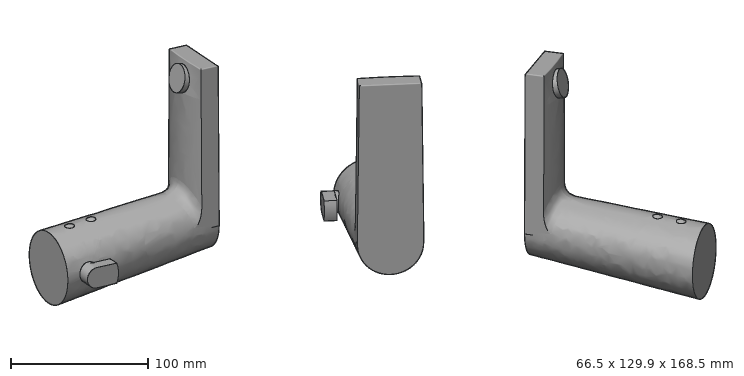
import cadquery as cq
import math

total_depth = 129.9
total_height = 168.5
front_radius = 28.0
rear_radius = 24.3
front_axis_z = front_radius
rear_axis_z = 42.5

arm_top_half_width = 22.9
arm_base_half_width = 24.5
arm_side_depth = 14.7
arm_crown_depth = 20.0
arm_top_crown_depth = 15.3
crown_end_z = 144.7
edge_radius = 0.8
elbow_radius = 10.1

outlet_radius = 10.8
outlet_face_y = total_depth - 21.5
outlet_face_z = 155.0
outlet_tilt = math.radians(14.3)
outlet_length = 6.7

button_positions = (18.0, 36.0)
button_radius = 3.5
button_height = 1.3

lever_radius = 8.0
lever_axis_y = 18.4
lever_axis_z = 30.3
lever_outer_x = 38.5
lever_thickness = 9.5
lever_tip_y = 36.5
lever_tip_bulge = 1.5
shaft_inner_x = 16.8


def body_top(y):
    """Height of the body's top line at a given depth."""
    front_top = front_axis_z + front_radius
    rear_top = rear_axis_z + rear_radius
    return front_top + (rear_top - front_top) * y / total_depth


def make_body():
    front = cq.Wire.makeCircle(front_radius, cq.Vector(0, 0, front_axis_z), cq.Vector(0, 1, 0))
    rear = cq.Wire.makeCircle(rear_radius, cq.Vector(0, total_depth, rear_axis_z), cq.Vector(0, 1, 0))
    return cq.Workplane(cq.Solid.makeLoft([front, rear], True))


def arm_half_width(z):
    """Half width of the arm, tapering evenly from the body axis to the top."""
    rise = (z - rear_axis_z) / (total_height - rear_axis_z)
    return arm_base_half_width + (arm_top_half_width - arm_base_half_width) * rise


def arm_section(z, crown_depth):
    half_width = arm_half_width(z)
    side_y = total_depth - arm_side_depth
    section = (
        cq.Workplane("XY", origin=(0, 0, z))
        .moveTo(-half_width, total_depth)
        .lineTo(-half_width, side_y)
        .threePointArc((0, total_depth - crown_depth), (half_width, side_y))
        .lineTo(half_width, total_depth)
        .close()
    )
    return section.val()


def make_arm():
    base = arm_section(rear_axis_z, arm_crown_depth)
    crown_end = arm_section(crown_end_z, arm_crown_depth)
    top = arm_section(total_height, arm_top_crown_depth)
    lower = cq.Workplane(cq.Solid.makeLoft([base, crown_end], True))
    upper = cq.Workplane(cq.Solid.makeLoft([crown_end, top], True))
    return lower.union(upper).faces(">Z").edges().fillet(edge_radius)


def blend_elbow(shape):
    """Round the inside corner where the arm's crown rises from the body."""
    crown_y = total_depth - arm_crown_depth
    corner = (0, crown_y, body_top(crown_y))
    return shape.edges(cq.selectors.NearestToPointSelector(corner)).fillet(elbow_radius)


def make_outlet():
    normal = cq.Vector(0, -math.cos(outlet_tilt), math.sin(outlet_tilt))
    face_center = cq.Vector(0, outlet_face_y, outlet_face_z)
    disc = cq.Solid.makeCylinder(outlet_radius, outlet_length, face_center, normal * -1)
    return cq.Workplane(disc)


def make_button(y):
    dome_radius = (button_radius**2 + button_height**2) / (2 * button_height)
    center_z = body_top(y) + button_height - dome_radius
    return cq.Workplane("XY", origin=(0, y, center_z)).sphere(dome_radius)


def make_lever():
    shoulder_y = lever_tip_y - lever_tip_bulge
    low_z = lever_axis_z - lever_radius
    high_z = lever_axis_z + lever_radius
    handle = (
        cq.Workplane("YZ", origin=(lever_outer_x - lever_thickness, 0, 0))
        .moveTo(lever_axis_y, high_z)
        .threePointArc((lever_axis_y - lever_radius, lever_axis_z), (lever_axis_y, low_z))
        .lineTo(shoulder_y, low_z)
        .threePointArc((lever_tip_y, lever_axis_z), (shoulder_y, high_z))
        .close()
        .extrude(lever_thickness)
    )
    shaft = (
        cq.Workplane("YZ", origin=(shaft_inner_x, lever_axis_y, lever_axis_z))
        .circle(lever_radius)
        .extrude(lever_outer_x - shaft_inner_x)
    )
    return handle.union(shaft)


result = blend_elbow(make_body().union(make_arm()))
result = result.union(make_outlet()).union(make_lever())
for button_y in button_positions:
    result = result.union(make_button(button_y))